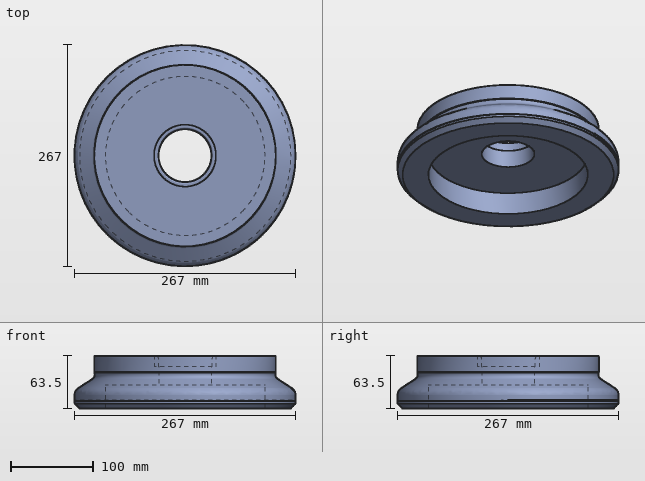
import cadquery as cq
import math

rim_radius = 133.5
height = 63.5

boss_radius = 109.7
boss_bottom_z = 44.0
boss_top_round = 2.0
boss_edge_break = 0.3
boss_edge_break_height = 0.8

shoulder_angle = 33.0
shoulder_bottom_z = 21.5
shoulder_round = 10.0

neck_round = 6.0
neck_radius = 109.1

rim_groove_depth = 0.3
rim_groove_z = 9.5
rim_groove_half_width = 0.8
rim_edge_break = 0.3
rim_edge_break_height = 1.0
chamfer_height = 6.0
chamfer_top_radius = rim_radius - rim_edge_break
base_radius = chamfer_top_radius - chamfer_height

web_thickness = 35.0
pocket_radius = 96.0
pocket_depth = height - web_thickness

bore_radius = 31.8
bush_outer_radius = 37.4
bush_inner_radius = 32.0
bush_taper = 0.5
bush_recess = 0.5
bush_length = 12.0
bush_top_z = height - bush_recess
bush_bottom_z = bush_top_z - bush_length
bush_mouth_round = 2.0
bush_taper_length = 6.5
bush_taper_radius = bush_inner_radius + bush_taper


def neck_points():
    """Start, middle and end of the neck arc, from the shoulder up to the boss, as (r, z)."""
    tilt = math.radians(90 - shoulder_angle)
    sharp_z = shoulder_bottom_z + (rim_radius - neck_radius) * math.tan(math.radians(shoulder_angle))
    centre_r = neck_radius + neck_round
    centre_z = sharp_z + neck_round * math.tan(tilt / 2)
    boss_edge_r = boss_radius - boss_edge_break
    rise_angle = math.acos((centre_r - boss_edge_r) / neck_round)

    def arc_point(angle):
        return (centre_r - neck_round * math.cos(angle), centre_z + neck_round * math.sin(angle))

    return arc_point(-tilt), arc_point(0), arc_point(rise_angle)


def wheel_blank():
    """Solid of revolution with the rim groove, the shoulder, the neck and the boss."""
    neck_bottom, neck_middle, neck_top = neck_points()
    outline = (
        cq.Workplane("XZ")
        .lineTo(base_radius, 0)
        .lineTo(chamfer_top_radius, chamfer_height)
        .lineTo(rim_radius, chamfer_height + rim_edge_break_height)
        .lineTo(rim_radius, rim_groove_z - rim_groove_half_width)
        .lineTo(rim_radius - rim_groove_depth, rim_groove_z)
        .lineTo(rim_radius, rim_groove_z + rim_groove_half_width)
        .lineTo(rim_radius, shoulder_bottom_z)
        .lineTo(*neck_bottom)
        .threePointArc(neck_middle, neck_top)
        .lineTo(neck_top[0], boss_bottom_z - boss_edge_break_height)
        .lineTo(boss_radius, boss_bottom_z)
        .lineTo(boss_radius, height)
        .lineTo(0, height)
        .close()
    )
    return outline.revolve(360, (0, 0, 0), (0, 1, 0))


def round_edge_at(body, z, radius):
    """Round the circular edge centred on the axis at height z."""
    edge = cq.selectors.NearestToPointSelector((0, 0, z))
    return body.edges(edge).fillet(radius)


def disc(radius, bottom_z, top_z):
    """Cylinder on the axis between two heights."""
    return cq.Workplane("XY").workplane(offset=bottom_z).circle(radius).extrude(top_z - bottom_z)


def make_wheel():
    """Wheel with a rounded shoulder, an underside pocket, bore and bush seat."""
    body = wheel_blank()
    body = round_edge_at(body, height, boss_top_round)
    body = round_edge_at(body, shoulder_bottom_z, shoulder_round)
    body = body.cut(disc(pocket_radius, 0, pocket_depth))
    body = body.cut(disc(bore_radius, 0, height))
    return body.cut(disc(bush_outer_radius, bush_bottom_z, height))


def make_bush():
    """Bush with a rounded mouth and a slight taper above its straight bore."""
    mouth_radius = bush_taper_radius + bush_mouth_round
    mouth_bottom_z = bush_top_z - bush_mouth_round
    arc_offset = bush_mouth_round * (1 - math.sqrt(0.5))
    outline = (
        cq.Workplane("XZ")
        .moveTo(bush_outer_radius, bush_bottom_z)
        .lineTo(bush_outer_radius, bush_top_z)
        .lineTo(mouth_radius, bush_top_z)
        .threePointArc(
            (bush_taper_radius + arc_offset, bush_top_z - arc_offset),
            (bush_taper_radius, mouth_bottom_z),
        )
        .lineTo(bush_inner_radius, bush_top_z - bush_taper_length)
        .lineTo(bush_inner_radius, bush_bottom_z)
        .close()
    )
    return outline.revolve(360, (0, 0, 0), (0, 1, 0))


wheel = make_wheel()
bush = make_bush()

result = cq.Compound.makeCompound([wheel.val(), bush.val()])